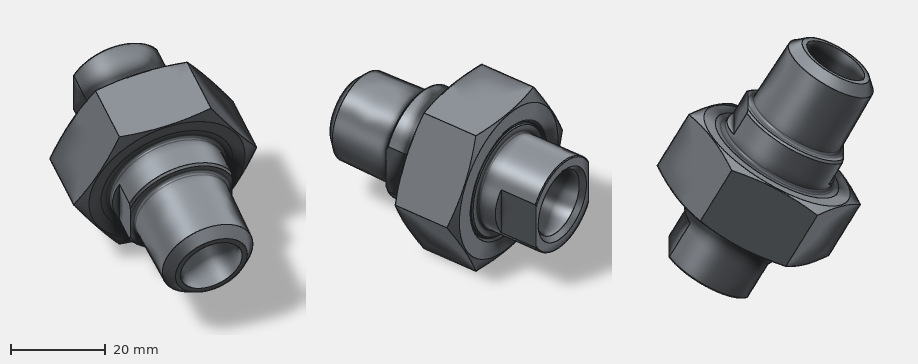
import cadquery as cq
import math

length = 54.5
nut_width = 36.0
nut_start = 13.95
nut_end = 29.5
nut_face_d = 35.5
nut_chamfer_length = 1.05
nut_mouth_d = 27.6
nut_mouth_chamfer = 0.55
nut_lip_end = 17.45
thread_d = 30.0

tail_d = 22.0
tail_bore_d = 15.2
tail_joint_bore_d = 14.2
tail_countersink_d = 17.4
tail_end_chamfer = 0.2
tail_fillet = 0.45
collar_start = 14.0
collar_d = 26.0
collar_chamfer = 0.25
joint_x = 20.7
tail_flat_width = 18.85
tail_flat_end = 9.05

hub_d = 26.0
hub_end = 37.45
hub_chamfer = 0.5
hub_fillet = 0.75
male_bore_d = 14.0
male_root_d = 21.35
male_tip_d = 20.6
male_end_d = 16.35
male_fillet_r = 0.8
male_taper_end = 52.4
hub_flat_width = 23.1
hub_flat_start = 31.4
flat_end_angle = 15.0


def revolve_profile(profile):
    """Revolve a closed (x, radius) profile about the X axis."""
    return profile.close().revolve(360, (0, 0, 0), (1, 0, 0))


def cut_flats(body, width, wall_x, open_x):
    """Cut wrench flats on both Y sides, from open_x to a sloping wall at wall_x."""
    flat_y = width / 2
    outer_y = thread_d
    direction = math.copysign(1, wall_x - open_x)
    run = (outer_y - flat_y) * math.tan(math.radians(flat_end_angle))
    for side in (-1, 1):
        cutter = (
            cq.Workplane("XY")
            .moveTo(open_x, side * flat_y)
            .lineTo(wall_x, side * flat_y)
            .lineTo(wall_x + direction * run, side * outer_y)
            .lineTo(open_x, side * outer_y)
            .close()
            .extrude(thread_d, both=True)
        )
        body = body.cut(cutter)
    return body


def make_nut():
    corner_d = nut_width / math.cos(math.pi / 6)
    hexagon = (
        cq.Workplane("YZ", origin=(nut_start, 0, 0))
        .polygon(6, corner_d)
        .extrude(nut_end - nut_start)
    )
    face_r = nut_face_d / 2
    corner_r = corner_d / 2
    chamfer_envelope = revolve_profile(
        cq.Workplane("XY")
        .moveTo(nut_start, 0)
        .lineTo(nut_start, face_r)
        .lineTo(nut_start + nut_chamfer_length, corner_r)
        .lineTo(nut_end - nut_chamfer_length, corner_r)
        .lineTo(nut_end, face_r)
        .lineTo(nut_end, 0)
    )
    mouth_r = nut_mouth_d / 2
    lip_r = mouth_r - nut_mouth_chamfer
    bore = revolve_profile(
        cq.Workplane("XY")
        .moveTo(nut_start, 0)
        .lineTo(nut_start, mouth_r)
        .lineTo(nut_start + nut_mouth_chamfer, lip_r)
        .lineTo(nut_lip_end, lip_r)
        .lineTo(nut_lip_end, thread_d / 2)
        .lineTo(nut_end, thread_d / 2)
        .lineTo(nut_end, 0)
    )
    return hexagon.intersect(chamfer_envelope).cut(bore)


def make_tail():
    tube_r = tail_d / 2
    collar_r = collar_d / 2
    bore_r = tail_bore_d / 2
    countersink_r = tail_countersink_d / 2
    tail = revolve_profile(
        cq.Workplane("XY")
        .moveTo(0, countersink_r)
        .lineTo(0, tube_r - tail_end_chamfer)
        .lineTo(tail_end_chamfer, tube_r)
        .lineTo(collar_start - tail_fillet, tube_r)
        .radiusArc((collar_start, tube_r + tail_fillet), -tail_fillet)
        .lineTo(collar_start, collar_r - collar_chamfer)
        .lineTo(collar_start + collar_chamfer, collar_r)
        .lineTo(nut_lip_end, collar_r)
        .lineTo(nut_lip_end, thread_d / 2)
        .lineTo(joint_x, thread_d / 2)
        .lineTo(joint_x, tail_joint_bore_d / 2)
        .lineTo(countersink_r - bore_r, bore_r)
    )
    return cut_flats(tail, tail_flat_width, tail_flat_end, 0)


def make_male_end():
    hub_r = hub_d / 2
    bore_r = male_bore_d / 2
    root_r = male_root_d / 2
    male = revolve_profile(
        cq.Workplane("XY")
        .moveTo(joint_x, bore_r)
        .lineTo(joint_x, thread_d / 2)
        .lineTo(nut_end, thread_d / 2)
        .lineTo(nut_end, hub_r + hub_fillet)
        .radiusArc((nut_end + hub_fillet, hub_r), -hub_fillet)
        .lineTo(hub_end - hub_chamfer, hub_r)
        .lineTo(hub_end, hub_r - hub_chamfer)
        .lineTo(hub_end, root_r + male_fillet_r)
        .radiusArc((hub_end + male_fillet_r, root_r), -male_fillet_r)
        .lineTo(male_taper_end, male_tip_d / 2)
        .lineTo(length, male_end_d / 2)
        .lineTo(length, bore_r)
    )
    return cut_flats(male, hub_flat_width, hub_flat_start, hub_end)


nut = make_nut()
tail = make_tail()
male_end = make_male_end()

result = cq.Compound.makeCompound([nut.val(), tail.val(), male_end.val()])